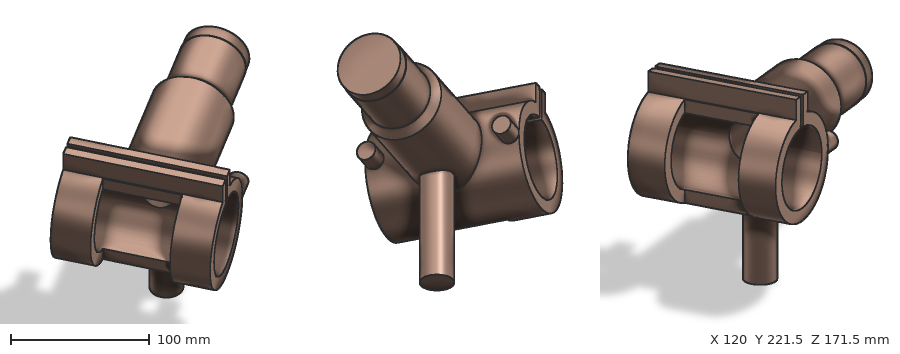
import cadquery as cq


clamp_length = 120.0
bore_radius = 31.5
ring_wall = 10.0
ring_radius = bore_radius + ring_wall
slot_width = 3.8
lug_pair_width = 18.2
lug_top = 56.3
window_length = 59.8
window_start = 10.0

chimney_radius = 31.0
neck_radius = 25.0
chamfer_start = 118.3
chamfer_end = 124.5
passage_radius = 15.0

overall_depth = 221.5
cap_radius = 24.5
cap_thickness = 10.2
cap_end = overall_depth - ring_radius
neck_end = cap_end - cap_thickness

outlet_radius = 12.51
outlet_offset = 51.0
outlet_bottom = -115.2

peg_radius = 7.3
peg_end = 57.1
peg_spacing = clamp_length - 2 * peg_radius


def rod_along_y(radius, start, end, x=0):
    """Solid cylinder parallel to Y from start to end."""
    axis = cq.Vector(0, 1, 0)
    return cq.Workplane(cq.Solid.makeCylinder(radius, end - start, cq.Vector(x, start, 0), axis))


def make_clamp_blank():
    """Solid ring cylinder with the block that becomes the two lugs."""
    ring = cq.Workplane("YZ").circle(ring_radius).extrude(clamp_length / 2, both=True)
    lugs = cq.Workplane("XY").box(
        clamp_length, lug_pair_width, lug_top, centered=(True, True, False)
    )
    return ring.union(lugs)


def make_chimney():
    """Stepped cylinder with a conical shoulder, revolved about Y."""
    return (
        cq.Workplane("XY")
        .polyline([
            (0, 0),
            (chimney_radius, 0),
            (chimney_radius, chamfer_start),
            (neck_radius, chamfer_end),
            (neck_radius, neck_end),
            (0, neck_end),
        ])
        .close()
        .revolve(360, (0, 0, 0), (0, 1, 0))
    )


def make_outlet():
    """Vertical spigot reaching from the chimney axis down to its free end."""
    return (
        cq.Workplane("XY", origin=(0, outlet_offset, 0))
        .circle(outlet_radius)
        .extrude(outlet_bottom)
    )


def cut_clamp_openings(body):
    """Cut the pipe bore, the slot between the lugs and the window opposite the chimney."""
    bore = cq.Workplane("YZ").circle(bore_radius).extrude(clamp_length / 2, both=True)
    slot = cq.Workplane("XY").box(
        clamp_length, slot_width, lug_top, centered=(True, True, False)
    )
    window_depth = ring_radius - window_start
    window = (
        cq.Workplane("XY")
        .box(window_length, window_depth, 2 * ring_radius)
        .translate((0, -ring_radius + window_depth / 2, 0))
    )
    return body.cut(bore).cut(slot).cut(window)


def make_saddle():
    """Clamp, chimney, outlet and pegs as one body."""
    body = make_clamp_blank().union(make_chimney()).union(make_outlet())
    for side in (-1, 1):
        body = body.union(rod_along_y(peg_radius, 0, peg_end, side * peg_spacing / 2))
    body = cut_clamp_openings(body)
    return body.cut(rod_along_y(passage_radius, 0, neck_end))


def make_cap():
    """Disc closing the outer end of the chimney passage."""
    return rod_along_y(cap_radius, neck_end, cap_end)


saddle = make_saddle()
cap = make_cap()

result = cq.Compound.makeCompound([saddle.solids().val(), cap.val()])